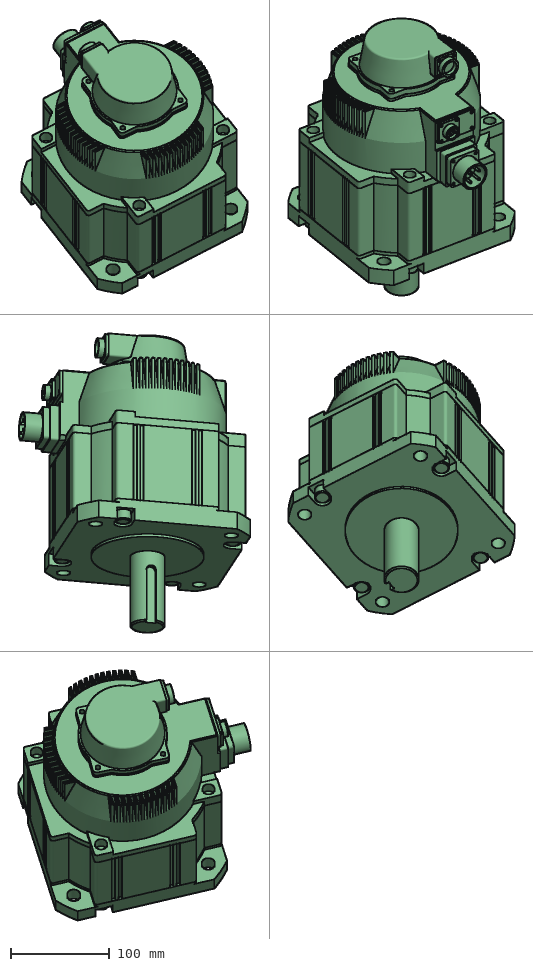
import cadquery as cq


body_width = 180.0
overall_length = 220.5
half_width = body_width / 2
corner_radius = 115.0
notch_offset = 53.5
notch_radius = 89.0
notch_edge_fillet = 3.0
pad_top = 18.2
flange_top = 22.0
stator_top = 104.2
bracket_top = 112.5
boss_top = 118.0

mount_hole_offset = 70.5
mount_hole_diameter = 13.5
pilot_diameter = 114.2
pilot_height = 3.0
bolt_offset = 44.0
bolt_distance = 78.2
bolt_pocket_width = 18.2
bolt_pocket_depth = 12.5
bolt_head_diameter = 16.0
bolt_head_height = 10.5
bolt_head_chamfer = 1.2

groove_width = 3.5
groove_depth = 2.7
groove_offsets = (27.0, 34.0)

boss_inner_offset = 34.2
boss_hole_diameter = 12.5

shaft_diameter = 35.0
shaft_end = -79.0
shaft_chamfer = 1.5
keyway_width = 10.0
keyway_depth = 5.0
keyway_top = -18.5

cover_radius = 80.0
cover_top_radius = 69.7
cone_base = 150.0
cover_top = 183.3
cover_edge_chamfer = 1.2
fin_row_center = 2.58
fin_count = 12
fin_pitch = 6.0
fin_width = 3.0
fin_root = 45.5

terminal_width = 46.7
terminal_upper_x = -93.5
terminal_lower_x = -96.5
terminal_step_z = 148.2
terminal_bottom = 108.2
terminal_corner_chamfer = 4.2

encoder_tilt = -1.7
encoder_base_top = 186.0
encoder_base_overhang = 0.3
encoder_skirt_top = 192.0
encoder_skirt_radius = 44.8
encoder_ear_width = 79.5
encoder_ear_fillet = 4.2
encoder_ear_blend = 2.0
encoder_hole_offset = 34.0
encoder_hole_diameter = 4.8
encoder_cone_radius = 42.7
encoder_top_radius = 37.5
encoder_top = 224.0
encoder_edge_fillet = 2.0
encoder_box_end = -48.2
encoder_box_width = 25.5
encoder_box_bottom = 198.8
encoder_box_y = -20.3
encoder_box_z = (encoder_box_bottom + encoder_top) / 2

screw_hole_radius = 1.5
screw_hole_depth = 1.8
encoder_plug_flange = 23.5
encoder_plug_thickness = 3.0
encoder_plug_length = 6.5
encoder_plug_radius = 10.0
encoder_plug_bore = 7.5
encoder_plug_screw = 8.5

fan_plate_width = 46.0
fan_plate_height = 25.0
fan_plate_thickness = 3.0
fan_plate_z = 170.3
fan_plug_y = 10.3
fan_plug_width = 24.2
fan_plug_height = 23.0
fan_plug_thickness = 3.0
fan_plug_length = 6.0
fan_plug_radius = 8.0
fan_plug_bore = 6.0
fan_plug_screw = 9.5
fan_pin_offset = 2.7
fan_pin_radius = 1.05

power_plug_z = 127.3
power_adaptor_width = 38.2
power_adaptor_thickness = 9.5
power_flange_width = 34.5
power_flange_thickness = 6.7
power_flange_fillet = 3.3
power_plug_end = half_width - overall_length
power_plug_radius = 14.5
power_plug_bore = 12.7
power_plug_screw = 13.5
power_pin_offset = 5.0
power_pin_radius = 1.2
plug_floor = 1.5
connector_fillet = 2.0


def block(x0, x1, y0, y1, z0, z1):
    """Axis-aligned box between two opposite corners."""
    return cq.Workplane("XY").box(x1 - x0, y1 - y0, z1 - z0, centered=False).translate((x0, y0, z0))


def disk(radius, z0, z1, x=0, y=0):
    """Cylinder along Z."""
    return cq.Workplane("XY").center(x, y).circle(radius).extrude(z1 - z0).translate((0, 0, z0))


def rod(radius, x0, x1, y, z):
    """Cylinder along X, from x0 to x1."""
    return cq.Workplane("YZ", origin=(x0, 0, 0)).center(y, z).circle(radius).extrude(x1 - x0)


def plate(x0, x1, y, z, width, height, corner=connector_fillet):
    """Rectangular plate normal to X, centred on (y, z), with its corners rounded."""
    flat = block(x0, x1, y - width / 2, y + width / 2, z - height / 2, z + height / 2)
    return flat.edges("|X").fillet(corner)


def quarter_turns(shape, count=4):
    """Copies of a shape turned about the Z axis in 90 degree steps."""
    return [shape.rotate((0, 0, 0), (0, 0, 1), 90 * turn) for turn in range(count)]


def corner_notches(z0, z1):
    """The four corner notches between two heights."""
    far = half_width + 3
    notch = block(notch_offset, far, notch_offset, far, z0, z1).cut(disk(notch_radius, z0, z1))
    return quarter_turns(notch)


def notched_block(z0, z1):
    """Square motor section with a notch in each corner and rounded notch edges."""
    section = block(-half_width, half_width, -half_width, half_width, z0, z1)
    for notch in corner_notches(z0, z1):
        section = section.cut(notch)
    for side in (">X", "<X", ">Y", "<Y"):
        section = section.faces(side).edges("|Z").fillet(notch_edge_fillet)
    return section


def make_flange():
    base = block(-half_width, half_width, -half_width, half_width, 0, pad_top)
    base = base.intersect(disk(corner_radius, 0, pad_top))
    flange = base.union(notched_block(pad_top, flange_top))
    flange = flange.union(disk(pilot_diameter / 2, -pilot_height, 0))
    mount_hole = disk(mount_hole_diameter / 2, 0, pad_top, mount_hole_offset, mount_hole_offset)
    for hole in quarter_turns(mount_hole):
        flange = flange.cut(hole)

    pocket = disk(bolt_pocket_width / 2, 0, bolt_pocket_depth, -bolt_offset, -bolt_distance)
    pocket = pocket.union(block(-bolt_offset - bolt_pocket_width / 2, -bolt_offset + bolt_pocket_width / 2,
                                -half_width, -bolt_distance, 0, bolt_pocket_depth))
    head = disk(bolt_head_diameter / 2, bolt_pocket_depth - bolt_head_height, bolt_pocket_depth,
                -bolt_offset, -bolt_distance)
    head = head.faces("<Z").chamfer(bolt_head_chamfer)
    for bolt_pocket in quarter_turns(pocket.cut(head)):
        flange = flange.cut(bolt_pocket)
    return flange


def make_stator():
    stator = notched_block(flange_top, stator_top)
    for offset in groove_offsets:
        for center in (-offset, offset):
            groove = block(center - groove_width / 2, center + groove_width / 2,
                           -half_width, groove_depth - half_width, flange_top, stator_top)
            for side_groove in quarter_turns(groove):
                stator = stator.cut(side_groove)
    return stator


def make_rear_bracket():
    bracket = notched_block(stator_top, bracket_top)
    raised = notched_block(bracket_top, boss_top).cut(disk(cover_radius, bracket_top, boss_top))
    boss_zone = block(-notch_offset, -boss_inner_offset, -half_width, 0, bracket_top, boss_top)
    hole = disk(boss_hole_diameter / 2, stator_top, boss_top, -bolt_offset, -bolt_distance)
    for boss in quarter_turns(raised.intersect(boss_zone)):
        bracket = bracket.union(boss)
    for boss_hole in quarter_turns(hole):
        bracket = bracket.cut(boss_hole)
    return bracket


def make_shaft():
    radius = shaft_diameter / 2
    shaft = disk(radius, shaft_end, -pilot_height).faces("<Z").chamfer(shaft_chamfer)
    key_floor = keyway_depth - radius
    half_key = keyway_width / 2
    slot = block(-half_key, half_key, -radius, key_floor, shaft_end, keyway_top - half_key)
    round_end = cq.Workplane("XZ", origin=(0, key_floor, 0)).center(0, keyway_top - half_key)
    slot = slot.union(round_end.circle(half_key).extrude(keyway_depth))
    return shaft.cut(slot)


def make_fan_cover():
    profile = [(0, bracket_top), (cover_radius, bracket_top), (cover_radius, cone_base),
               (cover_top_radius, cover_top), (0, cover_top)]
    cover = cq.Workplane("XZ").polyline(profile).close().revolve(360, (0, 0, 0), (0, 1, 0))

    for index in range(fin_count):
        center = fin_row_center + (index - (fin_count - 1) / 2) * fin_pitch
        fin = block(center - fin_width / 2, center + fin_width / 2,
                    -cover_radius, -fin_root, cone_base, cover_top)
        for side_fin in quarter_turns(fin.intersect(disk(cover_radius, cone_base, cover_top)), 3):
            cover = cover.union(side_fin)

    half_box = terminal_width / 2
    cover = cover.union(block(terminal_upper_x, 0, -half_box, half_box, bracket_top, cover_top))
    cover = cover.faces(">Z").edges().chamfer(cover_edge_chamfer)
    lower_box = block(terminal_lower_x, -half_width, -half_box, half_box, terminal_bottom, terminal_step_z)
    lower_box = lower_box.faces("<Z").edges("|X").chamfer(terminal_corner_chamfer)
    return cover.union(lower_box)


def encoder_footprint(z0, z1, overhang=0.0):
    """Round flange with four rounded ears."""
    half_ear = encoder_ear_width / 2 + overhang
    ears = block(-half_ear, half_ear, -half_ear, half_ear, z0, z1)
    ears = ears.edges("|Z").fillet(encoder_ear_fillet)
    radius = encoder_skirt_radius + overhang
    footprint = ears.union(disk(radius, z0, z1))

    reach = (radius ** 2 - half_ear ** 2) ** 0.5
    for x, y in [(half_ear, reach), (reach, half_ear)]:
        for side_x, side_y in [(1, 1), (-1, 1), (-1, -1), (1, -1)]:
            joint = cq.selectors.NearestToPointSelector((side_x * x, side_y * y, (z0 + z1) / 2))
            footprint = footprint.edges(joint).fillet(encoder_ear_blend)
    return footprint.rotate((0, 0, 0), (0, 0, 1), encoder_tilt)


def make_encoder_cover():
    footprint = encoder_footprint(cover_top, encoder_base_top, encoder_base_overhang)
    footprint = footprint.union(encoder_footprint(encoder_base_top, encoder_skirt_top))
    hole = disk(encoder_hole_diameter / 2, cover_top, encoder_skirt_top,
                encoder_hole_offset, encoder_hole_offset)
    for ear_hole in quarter_turns(hole.rotate((0, 0, 0), (0, 0, 1), encoder_tilt)):
        footprint = footprint.cut(ear_hole)

    profile = [(0, encoder_skirt_top), (encoder_cone_radius, encoder_skirt_top),
               (encoder_top_radius, encoder_top), (0, encoder_top)]
    cap = cq.Workplane("XZ").polyline(profile).close().revolve(360, (0, 0, 0), (0, 1, 0))
    cap = cap.faces(">Z").edges().fillet(encoder_edge_fillet)
    half_box = encoder_box_width / 2
    box = block(encoder_box_end, 0, encoder_box_y - half_box, encoder_box_y + half_box,
                encoder_box_bottom, encoder_top)
    box = box.edges("|X").fillet(encoder_edge_fillet)
    return footprint.union(cap).union(box)


def drill_screw_holes(body, face_x, points):
    """Sink blind screw holes into a face that looks towards -X."""
    for y, z in points:
        body = body.cut(rod(screw_hole_radius, face_x, face_x + screw_hole_depth, y, z))
    return body


def square_points(y, z, offset):
    """Four (y, z) points at the corners of a square."""
    return [(y + side * offset, z + level * offset) for side in (-1, 1) for level in (-1, 1)]


def plug_shell(mouth_x, face_x, y, z, radius, bore, pin_radius=0.0, pin_points=()):
    """Open round shell on a connector face, with contact pins standing in it."""
    floor_x = face_x - plug_floor
    shell = rod(radius, mouth_x, face_x, y, z).cut(rod(bore, mouth_x, floor_x, y, z))
    for pin_y, pin_z in pin_points:
        shell = shell.union(rod(pin_radius, mouth_x, face_x, pin_y, pin_z))
    return shell


def make_encoder_connector():
    face_x = encoder_box_end - encoder_plug_thickness
    body = plate(face_x, encoder_box_end, encoder_box_y, encoder_box_z,
                 encoder_plug_flange, encoder_plug_flange)
    body = drill_screw_holes(body, face_x, square_points(encoder_box_y, encoder_box_z, encoder_plug_screw))
    return body.union(plug_shell(face_x - encoder_plug_length, face_x, encoder_box_y, encoder_box_z,
                                 encoder_plug_radius, encoder_plug_bore))


def make_fan_connector():
    plate_x = terminal_upper_x - fan_plate_thickness
    face_x = plate_x - fan_plug_thickness
    body = plate(plate_x, terminal_upper_x, 0, fan_plate_z, fan_plate_width, fan_plate_height)
    body = body.union(plate(face_x, plate_x, fan_plug_y, fan_plate_z, fan_plug_width, fan_plug_height))

    plug_screws = square_points(fan_plug_y, fan_plate_z, fan_plug_screw)
    far_screw_y = -fan_plug_y - fan_plug_screw
    far_screws = [(far_screw_y, fan_plate_z + level * fan_plug_screw) for level in (-1, 1)]
    body = drill_screw_holes(body, face_x, plug_screws)
    body = drill_screw_holes(body, plate_x, far_screws)

    pins = [(fan_plug_y + side * fan_pin_offset, fan_plate_z) for side in (-1, 1)]
    return body.union(plug_shell(face_x - fan_plug_length, face_x, fan_plug_y, fan_plate_z,
                                 fan_plug_radius, fan_plug_bore, fan_pin_radius, pins))


def make_power_connector():
    adaptor_x = terminal_lower_x - power_adaptor_thickness
    face_x = adaptor_x - power_flange_thickness
    body = plate(adaptor_x, terminal_lower_x, 0, power_plug_z, power_adaptor_width, power_adaptor_width)
    body = body.union(plate(face_x, adaptor_x, 0, power_plug_z, power_flange_width, power_flange_width,
                            power_flange_fillet))
    body = drill_screw_holes(body, face_x, square_points(0, power_plug_z, power_plug_screw))
    return body.union(plug_shell(power_plug_end, face_x, 0, power_plug_z, power_plug_radius, power_plug_bore,
                                 power_pin_radius, square_points(0, power_plug_z, power_pin_offset)))


flange = make_flange()
stator = make_stator()
rear_bracket = make_rear_bracket()
shaft = make_shaft()
fan_cover = make_fan_cover()
encoder_cover = make_encoder_cover()
encoder_connector = make_encoder_connector()
fan_connector = make_fan_connector()
power_connector = make_power_connector()

result = cq.Compound.makeCompound([
    flange.val(),
    stator.val(),
    rear_bracket.val(),
    shaft.val(),
    fan_cover.val(),
    encoder_cover.val(),
    encoder_connector.val(),
    fan_connector.val(),
    power_connector.val(),
])